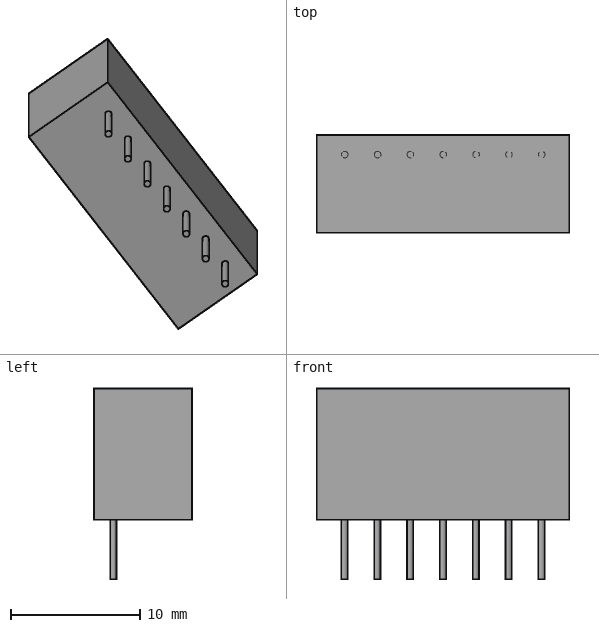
import cadquery as cq

housing_length = 19.56
housing_width = 7.59
total_height = 14.79
pin_length = 4.6
housing_height = total_height - pin_length

pin_count = 7
pin_diameter = 0.5
pin_pitch = 2.55
pin_row_inset = 1.5
pin_row_y = housing_width / 2 - pin_row_inset
first_pin_x = -pin_pitch * (pin_count - 1) / 2


def make_housing():
    """Plain rectangular block standing on Z = 0."""
    return cq.Workplane("XY").box(
        housing_length, housing_width, housing_height, centered=(True, True, False)
    )


def make_pin(x):
    """Straight pin hanging from the underside of the housing."""
    return cq.Workplane("XY").center(x, pin_row_y).circle(pin_diameter / 2).extrude(-pin_length)


housing = make_housing()
pins = [make_pin(first_pin_x + index * pin_pitch) for index in range(pin_count)]

result = cq.Compound.makeCompound([housing.val(), *[pin.val() for pin in pins]])